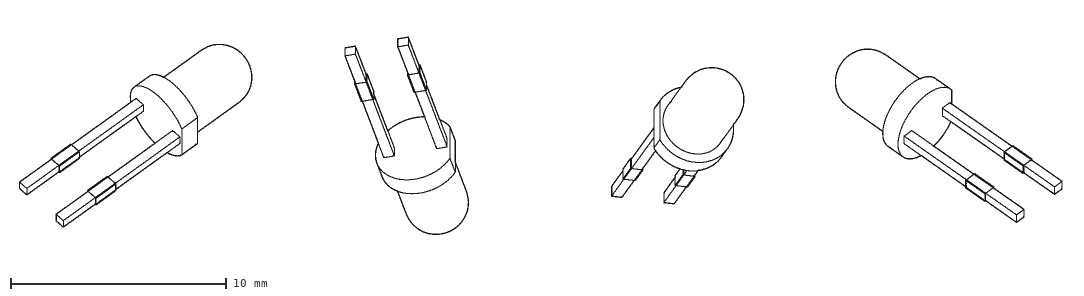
import cadquery as cq

total_length = 12.6
lead_length = 7.3
lamp_length = total_length - lead_length

lens_diameter = 3.0
dome_radius = 1.4
flange_diameter = 3.85
flange_thickness = 1.0
flange_width = 3.58
flat_x = flange_width - flange_diameter / 2

lead_size = 0.5
lead_pitch = 2.53
lead_centers = (-lead_pitch / 2, lead_pitch / 2)
sleeve_length = 1.25
sleeve_side_wall = 0.05
sleeve_skin = 0.003
sleeve_to_tip = 2.0


def make_box(center_x, y_start, size_x, length, size_z):
    """Box centred on X and Z that runs from y_start toward +Y."""
    return (
        cq.Workplane("XY")
        .box(size_x, length, size_z, centered=(True, False, True))
        .translate((center_x, y_start, 0))
    )


def make_cylinder(diameter, length):
    """Cylinder on the lamp axis that runs from Y = 0 toward +Y."""
    return cq.Workplane("XZ").circle(diameter / 2).extrude(-length)


def make_housing():
    """Domed lens on a flange with one flat."""
    lens = make_cylinder(lens_diameter, lamp_length).faces(">Y").edges().fillet(dome_radius)
    flange = make_cylinder(flange_diameter, flange_thickness)
    beyond_flat = make_box(flat_x + flange_diameter / 2, 0, flange_diameter, flange_thickness, flange_diameter)
    return lens.union(flange.cut(beyond_flat))


def make_lead(center_x):
    """Straight square lead that ends against the flange."""
    return make_box(center_x, -lead_length, lead_size, lead_length, lead_size)


def make_sleeve(center_x):
    """Rectangular tube that fits closely around a lead."""
    outer = make_box(
        center_x,
        -lead_length + sleeve_to_tip,
        lead_size + 2 * sleeve_side_wall,
        sleeve_length,
        lead_size + 2 * sleeve_skin,
    )
    return outer.cut(make_lead(center_x))


housing = make_housing()
leads = [make_lead(x) for x in lead_centers]
sleeves = [make_sleeve(x) for x in lead_centers]

bodies = [housing, *leads, *sleeves]
result = cq.Compound.makeCompound([body.val() for body in bodies])